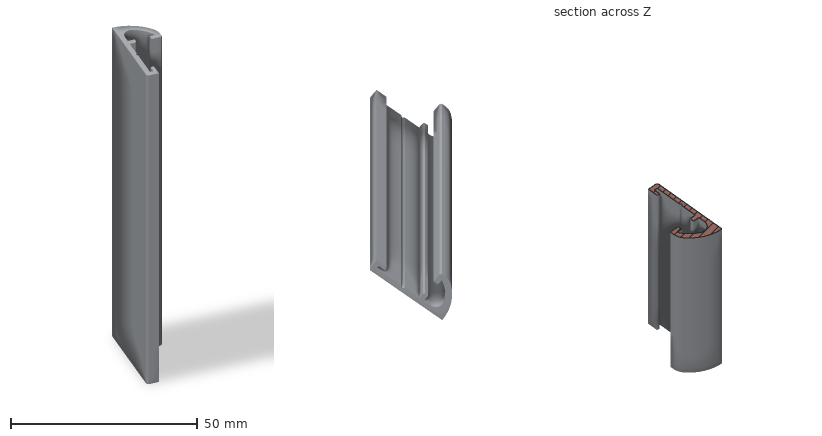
import cadquery as cq
import math

width = 25.0
height = 10.9
length = 100.0

floor_thickness = 1.5
edge_chamfer = 0.5
groove_x = 14.5
groove_half_width = 0.5
groove_depth = 0.5

outer_radius = 12.7
outer_center = (outer_radius, 0.0)
inner_radius = 10.5
inner_center = (12.5, 0.25)
crown_radius = 4.4
root_radius = 2.45

rib_left = 7.5
rib_right = 9.0
rib_top = 3.5
lip_bottom = 7.8
rib_corner_chamfer = 0.4

hook_top = 3.45
hook_underside = 2.45
hook_tip_x = 21.4
hook_wall_thickness = 1.5
hook_tip_chamfer = 0.2

UP = math.pi / 2
LEFT = math.pi
DOWN = 3 * math.pi / 2


def polar(center, radius, angle):
    """Point on a circle at the given angle."""
    return (center[0] + radius * math.cos(angle), center[1] + radius * math.sin(angle))


def arc_angle(center, point):
    """Direction of a point left of the centre, measured around from LEFT."""
    return LEFT - math.atan2(point[1] - center[1], center[0] - point[0])


def arc_midpoint(center, radius, start, end):
    """Point on a circle halfway between two of its points."""
    return polar(center, radius, (arc_angle(center, start) + arc_angle(center, end)) / 2)


def blend(center, radius, blend_radius, flat_y, flat_direction):
    """Arc rounding the inside of a wall circle into a flat: wall point, middle and flat point."""
    blend_y = flat_y - blend_radius * math.sin(flat_direction)
    blend_x = center[0] - math.sqrt((radius - blend_radius) ** 2 - (blend_y - center[1]) ** 2)
    blend_center = (blend_x, blend_y)
    wall_direction = arc_angle(center, blend_center)
    angles = (wall_direction, (wall_direction + flat_direction) / 2, flat_direction)
    return [polar(blend_center, blend_radius, angle) for angle in angles]


def draw_curved_wall_outside(outline):
    base = (0.0, 0.0)
    crown_start, crown_middle, crown_end = blend(outer_center, outer_radius, crown_radius, height, UP)
    middle = arc_midpoint(outer_center, outer_radius, base, crown_start)
    outline = outline.moveTo(*base).threePointArc(middle, crown_start)
    return outline.threePointArc(crown_middle, crown_end)


def draw_hanging_lip(outline):
    outline = outline.lineTo(rib_right - rib_corner_chamfer, height)
    outline = outline.lineTo(rib_right, height - rib_corner_chamfer)
    outline = outline.lineTo(rib_right, lip_bottom)
    return outline.lineTo(rib_left, lip_bottom)


def draw_curved_wall_inside(outline):
    rise = math.sqrt(inner_radius**2 - (inner_center[0] - rib_left) ** 2)
    lip_root = (rib_left, inner_center[1] + rise)
    root_start, root_middle, root_end = blend(inner_center, inner_radius, root_radius, floor_thickness, DOWN)
    middle = arc_midpoint(inner_center, inner_radius, lip_root, root_start)
    outline = outline.lineTo(*lip_root).threePointArc(middle, root_start)
    return outline.threePointArc(root_middle, root_end)


def draw_floor_rib(outline):
    outline = outline.lineTo(rib_left, floor_thickness)
    outline = outline.lineTo(rib_left, rib_top)
    outline = outline.lineTo(rib_right - rib_corner_chamfer, rib_top)
    outline = outline.lineTo(rib_right, rib_top - rib_corner_chamfer)
    return outline.lineTo(rib_right, floor_thickness)


def draw_score_groove(outline):
    outline = outline.lineTo(groove_x - groove_half_width, floor_thickness)
    outline = outline.lineTo(groove_x, floor_thickness - groove_depth)
    return outline.lineTo(groove_x + groove_half_width, floor_thickness)


def draw_hook(outline):
    hook_wall_x = width - hook_wall_thickness
    outline = outline.lineTo(hook_wall_x, floor_thickness)
    outline = outline.lineTo(hook_wall_x, hook_underside)
    outline = outline.lineTo(hook_tip_x + hook_tip_chamfer, hook_underside)
    outline = outline.lineTo(hook_tip_x, hook_underside + hook_tip_chamfer)
    outline = outline.lineTo(hook_tip_x, hook_top - hook_tip_chamfer)
    outline = outline.lineTo(hook_tip_x + hook_tip_chamfer, hook_top)
    return outline.lineTo(width, hook_top)


def draw_chamfered_edge(outline):
    outline = outline.lineTo(width, edge_chamfer)
    return outline.lineTo(width - edge_chamfer, 0)


profile = cq.Workplane("XY")
profile = draw_curved_wall_outside(profile)
profile = draw_hanging_lip(profile)
profile = draw_curved_wall_inside(profile)
profile = draw_floor_rib(profile)
profile = draw_score_groove(profile)
profile = draw_hook(profile)
profile = draw_chamfered_edge(profile)

result = profile.close().extrude(length)